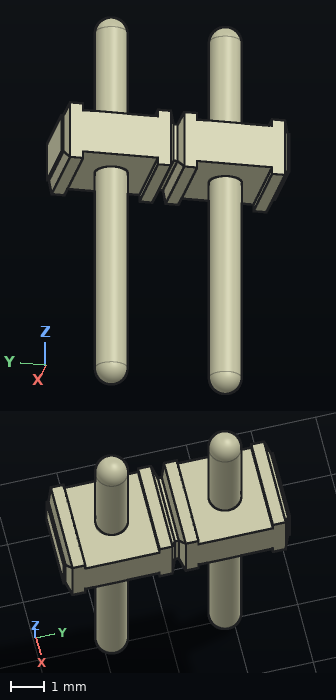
import cadquery as cq
import math

pin_count = 2
pin_length = 12.0
pin_diameter = 1.0
tip_height = 0.48

row_length = 7.0
pitch = row_length / pin_count
body_width = 2.8
body_height = 1.8
pin_above_body = 3.5
body_center_z = pin_length / 2 - pin_above_body - body_height / 2

end_inset = 0.3
taper_length = 0.15
end_land = 0.06
rail_width = 0.4
relief_depth = 0.22

core_length = pitch - 2 * (taper_length + end_land)
end_width = body_width - 2 * end_inset
end_height = body_height - 2 * end_inset


def make_taper(direction):
    """Pyramidal end of a body, narrowing outward along +Y (1) or -Y (-1)."""
    plane = cq.Plane(
        origin=(0, direction * core_length / 2, body_center_z),
        xDir=(1, 0, 0),
        normal=(0, direction, 0),
    )
    return (
        cq.Workplane(plane)
        .rect(body_width, body_height)
        .workplane(offset=taper_length)
        .rect(end_width, end_height)
        .loft(ruled=True)
    )


def make_body():
    """Insulator with tapered ends and a shallow relief above and below."""
    center = (0, 0, body_center_z)
    core = cq.Workplane("XY").box(body_width, core_length, body_height).translate(center)
    neck = cq.Workplane("XY").box(end_width, pitch, end_height).translate(center)
    body = core.union(neck).union(make_taper(1)).union(make_taper(-1))
    relief_length = core_length - 2 * rail_width
    relief = cq.Workplane("XY").box(body_width, relief_length, relief_depth)
    for side in (1, -1):
        relief_z = body_center_z + side * (body_height - relief_depth) / 2
        body = body.cut(relief.translate((0, 0, relief_z)))
    return body


def make_pin():
    """Round pin with a spherical cap on both ends."""
    radius = pin_diameter / 2
    tip_z = pin_length / 2
    shoulder_z = tip_z - tip_height
    sphere_radius = (radius**2 + tip_height**2) / (2 * tip_height)
    sphere_center_z = tip_z - sphere_radius
    arc_y = sphere_radius * math.sin(math.pi / 4)
    arc_z = sphere_center_z + sphere_radius * math.cos(math.pi / 4)
    return (
        cq.Workplane("YZ")
        .moveTo(0, -tip_z)
        .threePointArc((arc_y, -arc_z), (radius, -shoulder_z))
        .lineTo(radius, shoulder_z)
        .threePointArc((arc_y, arc_z), (0, tip_z))
        .close()
        .revolve(360, (0, 0, 0), (0, 1, 0))
    )


section = make_body().union(make_pin())
result = cq.Workplane("XY")
for index in range(pin_count):
    section_y = (index - (pin_count - 1) / 2) * pitch
    result = result.union(section.translate((0, section_y, 0)))